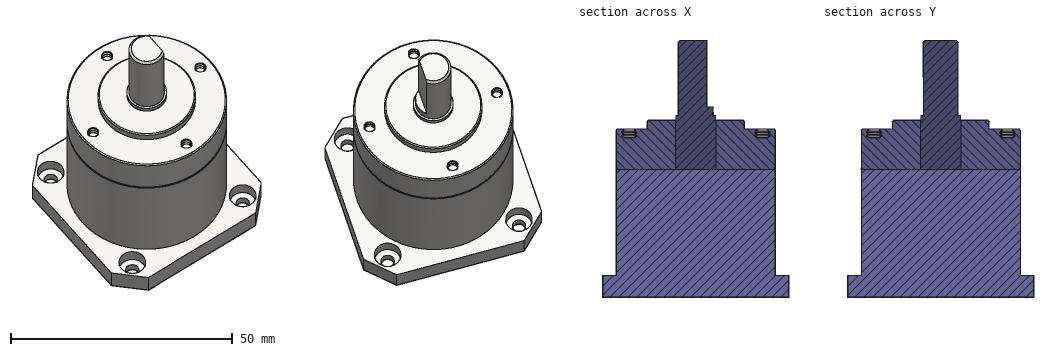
import cadquery as cq

TOTAL_HEIGHT = 58.0
FLANGE_THICKNESS = 5.0
HOUSING_TOP = 28.95
COVER_TOP = 38.0
BOSS_TOP = 39.95
COLLAR_TOP = 41.0

FLANGE_WIDTH = 42.0
CORNER_CHAMFER = 6.0
MOUNT_HOLE_SPACING = 31.0
MOUNT_HOLE_DIAMETER = 3.0
COUNTERBORE_DIAMETER = 6.0
COUNTERBORE_DEPTH = 3.0

BODY_DIAMETER = 36.0
RIM_CHAMFER = 0.3
BOSS_DIAMETER = 22.0
COVER_HOLE_COUNT = 4
COVER_HOLE_DIAMETER = 2.5
COVER_HOLE_CIRCLE_RADIUS = 15.0

THREAD_LIP = 0.4
GROOVE_COUNT = 2
GROOVE_HEIGHT = 0.7
GROOVE_DEPTH = 0.5
CREST_HEIGHT = 0.085

SHAFT_DIAMETER = 8.0
SHAFT_TIP_CHAMFER = 0.5
COLLAR_DIAMETER = 9.0
FLAT_OFFSET = 2.5
FLAT_LENGTH = 15.0


def cylinder(diameter, bottom, top):
    """Upright cylinder on the Z axis between two heights."""
    return cq.Workplane("XY", origin=(0, 0, bottom)).circle(diameter / 2).extrude(top - bottom)


def make_housing():
    """Square flange with clipped corners, carrying the round housing."""
    flange = (
        cq.Workplane("XY")
        .rect(FLANGE_WIDTH, FLANGE_WIDTH)
        .extrude(FLANGE_THICKNESS)
        .edges("|Z")
        .chamfer(CORNER_CHAMFER)
        .faces(">Z")
        .workplane()
        .rect(MOUNT_HOLE_SPACING, MOUNT_HOLE_SPACING, forConstruction=True)
        .vertices()
        .cboreHole(MOUNT_HOLE_DIAMETER, COUNTERBORE_DIAMETER, COUNTERBORE_DEPTH)
    )
    barrel = cylinder(BODY_DIAMETER, FLANGE_THICKNESS, HOUSING_TOP)
    return flange.union(barrel)


def make_threaded_hole():
    """Solid that fills one blind threaded hole, on the Z axis with its mouth at the cover face."""
    radius = COVER_HOLE_DIAMETER / 2
    height = COVER_TOP - THREAD_LIP
    profile = cq.Workplane("XZ").moveTo(0, COVER_TOP).lineTo(radius, COVER_TOP).lineTo(radius, height)
    for _ in range(GROOVE_COUNT):
        profile = (
            profile
            .lineTo(radius + GROOVE_DEPTH, height - GROOVE_HEIGHT / 2)
            .lineTo(radius, height - GROOVE_HEIGHT)
            .lineTo(radius, height - GROOVE_HEIGHT - CREST_HEIGHT)
        )
        height -= GROOVE_HEIGHT + CREST_HEIGHT
    return profile.lineTo(0, height).close().revolve(360, (0, 0, 0), (0, 1, 0))


def make_cover():
    """Round cover with a raised boss, a ring of threaded blind holes and a bore for the shaft."""
    disc = cylinder(BODY_DIAMETER, HOUSING_TOP, COVER_TOP).faces("<Z or >Z").edges().chamfer(RIM_CHAMFER)
    boss = cylinder(BOSS_DIAMETER, COVER_TOP, BOSS_TOP).faces(">Z").edges().chamfer(RIM_CHAMFER)
    holes = (
        cq.Workplane("XY")
        .polarArray(COVER_HOLE_CIRCLE_RADIUS, 0, 360, COVER_HOLE_COUNT)
        .eachpoint(make_threaded_hole().val().located, combine=False)
    )
    bore = cylinder(COLLAR_DIAMETER, HOUSING_TOP, BOSS_TOP)
    return disc.union(boss).cut(holes).cut(bore)


def make_shaft():
    """Output shaft with a collar that fills the cover bore and a flat on its +Y side."""
    collar = cylinder(COLLAR_DIAMETER, HOUSING_TOP, COLLAR_TOP)
    journal = cylinder(SHAFT_DIAMETER, COLLAR_TOP, TOTAL_HEIGHT).faces(">Z").edges().chamfer(SHAFT_TIP_CHAMFER)
    flat_cut = (
        cq.Workplane("XY")
        .box(SHAFT_DIAMETER, SHAFT_DIAMETER, FLAT_LENGTH, centered=(True, False, False))
        .translate((0, FLAT_OFFSET, TOTAL_HEIGHT - FLAT_LENGTH))
    )
    return collar.union(journal.cut(flat_cut))


housing = make_housing()
cover = make_cover()
shaft = make_shaft()

result = cq.Compound.makeCompound([housing.val(), cover.val(), shaft.val()])